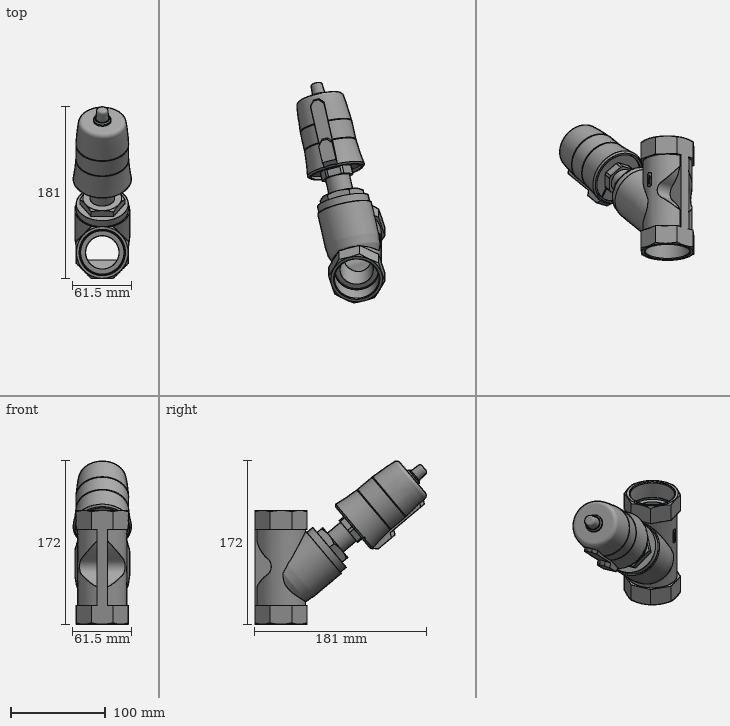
import cadquery as cq
import math


length = 120.0
body_diameter = 52.0
bore_diameter = 35.0
end_sides = 8
end_flats = 55.0
end_height = 20.0
end_chamfer_diameter = 54.5
socket_mouth_diameter = 48.8
socket_top_diameter = 47.0
socket_bottom_diameter = 46.4
socket_floor_diameter = 45.65
socket_chamfer = 1.0
socket_depth = 20.5
socket_floor_step = 2.0
corner_chamfer_slope = math.tan(math.radians(30))

rib_width = 11.0
waist_middle = 0.8
waist_floor = -10.2
waist_tip_radius = 10.9
waist_upper_radius = 34.0
waist_upper_angle = 50.0
waist_lower_radius = 35.0
waist_lower_angle = 54.0
waist_wall = 2.4

mark_middle = 14.7
mark_length = 15.8
mark_width = 6.1
mark_depth = 0.4
arrow_length = 9.4
arrow_head_length = 3.0
arrow_head_width = 4.0
arrow_shaft_width = 2.2

branch_lean = 50.0
branch_foot = -21.95
neck_bottom = 5.0
neck_curve_start = 12.0
neck_straight_start = 21.6
neck_top = 58.6
collar_top = 66.8
bonnet_top = 74.7
gland_bottom = 92.8
actuator_bottom = 99.1
rim_station = 101.0
lower_groove = 128.2
upper_groove = 149.0
shoulder_station = 176.4
actuator_top = 181.1
flange_step = 183.0
flange_top = 184.4
indicator_edge = 194.4
indicator_top = 196.7

neck_radius = 29.0
neck_curve_radius = 28.0
neck_bottom_radius = 25.3
collar_radius = 27.5
hex_sides = 6
bonnet_flats = 41.0
stem_radius = 13.0
gland_flats = 30.4
gland_turned_diameter = 33.5
rim_radius = 30.735
rim_chamfer = 1.8
skirt_middle_radius = 28.9
barrel_radius = 27.9
groove_width = 0.8
groove_depth = 0.15
cap_middle_radius = 27.0
shoulder_radius = 25.4
crown_radius = 20.7
recess_radius = 27.0
recess_depth = 3.0
flange_radius = 9.1
flange_top_radius = 7.6
indicator_base_radius = 6.8
indicator_edge_radius = 6.1
indicator_tip_radius = 3.2

port_half_width = 7.4
port_end_chamfer = 4.5
lower_port_reach = 34.3
lower_port_bottom = 100.5
lower_port_bevel = 4.5
lower_port_top = 128.2
upper_port_reach = 29.3
upper_port_top = 172.7
port_end_slope = 0.5


def polygon_bar(sides, flats, bottom, top):
    """Regular bar along Z whose first corner lies on +X."""
    corner_diameter = flats / math.cos(math.pi / sides)
    return cq.Workplane("XY").workplane(offset=bottom).polygon(sides, corner_diameter).extrude(top - bottom)


def turned_corner_cone(bottom, top, top_diameter):
    """Cone that bevels the corners of a bar at its top end."""
    top_radius = top_diameter / 2
    bottom_radius = top_radius + (top - bottom) / corner_chamfer_slope
    outline = [(0, bottom), (bottom_radius, bottom), (top_radius, top), (0, top)]
    return cq.Workplane("XZ").polyline(outline).close().revolve(360, (0, 0), (0, 1))


def body_end():
    """Octagonal end at the top of the body."""
    bottom = length / 2 - end_height
    bar = polygon_bar(end_sides, end_flats, bottom, length / 2)
    bar = bar.rotate((0, 0, 0), (0, 0, 1), 180 / end_sides)
    return bar.intersect(turned_corner_cone(bottom, length / 2, end_chamfer_diameter))


def socket():
    """Tapered connection socket cut into the top of the body."""
    top = length / 2
    floor = top - socket_depth
    outline = [
        (0, floor),
        (socket_floor_diameter / 2, floor),
        (socket_floor_diameter / 2, floor + socket_floor_step),
        (socket_bottom_diameter / 2, floor + socket_floor_step),
        (socket_top_diameter / 2, top - socket_chamfer),
        (socket_mouth_diameter / 2, top),
        (0, top),
    ]
    return cq.Workplane("XZ").polyline(outline).close().revolve(360, (0, 0), (0, 1))


def mirrored_pair(shape):
    return shape.union(shape.mirror("XY"))


def flank(radius, angle_from_z):
    """Start, middle and end points (y, z) of a waist flank, from the tip arc to the body surface."""
    angle = math.radians(angle_from_z)
    start_y = waist_floor - waist_tip_radius * (1 - math.cos(angle))
    start_z = waist_tip_radius * math.sin(angle)
    end_angle = math.acos(math.cos(angle) + (start_y + body_diameter / 2) / radius)
    points = []
    for reached in (angle, (angle + end_angle) / 2, end_angle):
        y = start_y - radius * (math.cos(reached) - math.cos(angle))
        z = start_z + radius * (math.sin(angle) - math.sin(reached))
        points.append((y, z))
    return points


def waist(shift):
    """Wavy prism along X that fills the space on the -Y side of the waist surface."""
    upper_start, upper_middle, upper_end = flank(waist_upper_radius, waist_upper_angle)
    lower_flank = flank(waist_lower_radius, waist_lower_angle)
    lower_start, lower_middle, lower_end = [(y, -z) for y, z in lower_flank]
    outer_y = -body_diameter
    return (
        cq.Workplane("YZ")
        .moveTo(outer_y, lower_end[1])
        .lineTo(*lower_end)
        .threePointArc(lower_middle, lower_start)
        .threePointArc((waist_floor, 0), upper_start)
        .threePointArc(upper_middle, upper_end)
        .lineTo(outer_y, upper_end[1])
        .close()
        .extrude(body_diameter, both=True)
        .translate((0, shift, waist_middle))
    )


def rib():
    """Flat rib down the -Y side, flush with the octagonal ends."""
    depth = end_flats / 2 + waist_floor
    middle_y = -(end_flats - depth) / 2
    return cq.Workplane("XY").box(rib_width, depth, length - 2 * end_height).translate((0, middle_y, 0))


def flow_mark():
    """Shallow slot around an arrow that points up."""
    slot = cq.Workplane("YZ").slot2D(mark_length, mark_width, 90).extrude(-body_diameter)
    half = arrow_length / 2
    head_z = half - arrow_head_length
    arrow = (
        cq.Workplane("YZ")
        .moveTo(-arrow_shaft_width / 2, -half)
        .lineTo(-arrow_shaft_width / 2, head_z)
        .lineTo(-arrow_head_width / 2, head_z)
        .lineTo(0, half)
        .lineTo(arrow_head_width / 2, head_z)
        .lineTo(arrow_shaft_width / 2, head_z)
        .lineTo(arrow_shaft_width / 2, -half)
        .close()
        .extrude(-body_diameter)
    )
    core = cq.Workplane("XY").circle(body_diameter / 2 - mark_depth).extrude(length / 2)
    return slot.cut(arrow).translate((0, 0, mark_middle)).cut(core)


def branch_shell():
    """Round parts of the branch and actuator, turned about the Z axis."""
    half_groove = groove_width / 2
    groove_radius = barrel_radius - groove_depth
    skirt_middle = (rim_station + lower_groove) / 2
    cap_middle = (upper_groove + shoulder_station) / 2
    mid_arc = math.sin(math.radians(45))
    shoulder_width = shoulder_radius - crown_radius
    shoulder_height = actuator_top - shoulder_station
    tip_width = indicator_edge_radius - indicator_tip_radius
    tip_height = indicator_top - indicator_edge
    outline = (
        cq.Workplane("XZ")
        .moveTo(0, neck_bottom)
        .lineTo(neck_bottom_radius, neck_bottom)
        .lineTo(neck_curve_radius, neck_curve_start)
        .lineTo(neck_radius, neck_straight_start)
        .lineTo(neck_radius, neck_top)
        .lineTo(collar_radius, neck_top)
        .lineTo(collar_radius, collar_top)
        .lineTo(stem_radius, collar_top)
        .lineTo(stem_radius, actuator_bottom + recess_depth)
        .lineTo(recess_radius, actuator_bottom + recess_depth)
        .lineTo(recess_radius, actuator_bottom)
        .lineTo(rim_radius - rim_chamfer, actuator_bottom)
        .lineTo(rim_radius, rim_station)
        .threePointArc((skirt_middle_radius, skirt_middle), (barrel_radius, lower_groove - half_groove))
        .lineTo(groove_radius, lower_groove - half_groove)
        .lineTo(groove_radius, lower_groove + half_groove)
        .lineTo(barrel_radius, lower_groove + half_groove)
        .lineTo(barrel_radius, upper_groove - half_groove)
        .lineTo(groove_radius, upper_groove - half_groove)
        .lineTo(groove_radius, upper_groove + half_groove)
        .lineTo(barrel_radius, upper_groove + half_groove)
        .threePointArc((cap_middle_radius, cap_middle), (shoulder_radius, shoulder_station))
        .threePointArc(
            (crown_radius + shoulder_width * mid_arc, shoulder_station + shoulder_height * mid_arc),
            (crown_radius, actuator_top),
        )
        .lineTo(flange_radius, actuator_top)
        .lineTo(flange_radius, flange_step)
        .lineTo(flange_top_radius, flange_top)
        .lineTo(indicator_base_radius, flange_top)
        .lineTo(indicator_edge_radius, indicator_edge)
        .threePointArc(
            (indicator_tip_radius + tip_width * mid_arc, indicator_edge + tip_height * mid_arc),
            (indicator_tip_radius, indicator_top),
        )
        .lineTo(0, indicator_top)
        .close()
    )
    return outline.revolve(360, (0, 0), (0, 1))


def bonnet_hex():
    bar = polygon_bar(hex_sides, bonnet_flats, collar_top, bonnet_top)
    return bar.intersect(turned_corner_cone(collar_top, bonnet_top, bonnet_flats))


def gland_hex():
    """Hexagon under the actuator with its corners turned off."""
    top = actuator_bottom + recess_depth
    bar = polygon_bar(hex_sides, gland_flats, gland_bottom, top)
    turned = cq.Workplane("XY").workplane(offset=gland_bottom).circle(gland_turned_diameter / 2)
    return bar.intersect(turned.extrude(top - gland_bottom))


def port_block(side_outline):
    """Air port block on the +Y side, with bevelled corners at its top end."""
    block = cq.Workplane("YZ").polyline(side_outline).close().extrude(port_half_width, both=True)
    return block.faces(">Z").edges("<X or >X").chamfer(port_end_chamfer)


def lower_port():
    inner = barrel_radius / 2
    return port_block([
        (inner, lower_port_bottom),
        (lower_port_reach - lower_port_bevel, lower_port_bottom),
        (lower_port_reach, lower_port_bottom + lower_port_bevel),
        (lower_port_reach, lower_port_top),
        (inner, lower_port_top + port_end_slope * (lower_port_reach - inner)),
    ])


def upper_port():
    """Slimmer, longer block that starts inside the lower one."""
    inner = barrel_radius / 2
    bottom = (lower_port_bottom + lower_port_top) / 2
    return port_block([
        (inner, bottom),
        (upper_port_reach, bottom),
        (upper_port_reach, upper_port_top),
        (inner, upper_port_top + port_end_slope * (upper_port_reach - inner)),
    ])


def branch():
    """Branch and actuator, leaned into place."""
    upright = branch_shell().union(bonnet_hex()).union(gland_hex())
    upright = upright.union(lower_port()).union(upper_port())
    return upright.rotate((0, 0, 0), (1, 0, 0), -branch_lean).translate((0, 0, branch_foot))


body = cq.Workplane("XY").circle(body_diameter / 2).extrude(length / 2 - end_height, both=True)
body = body.union(branch()).cut(waist(0)).union(rib())
body = body.union(mirrored_pair(body_end())).cut(flow_mark())

passage = cq.Workplane("XY").circle(bore_diameter / 2).extrude(length / 2, both=True)
passage = passage.cut(waist(waist_wall)).union(mirrored_pair(socket()))

result = body.cut(passage)